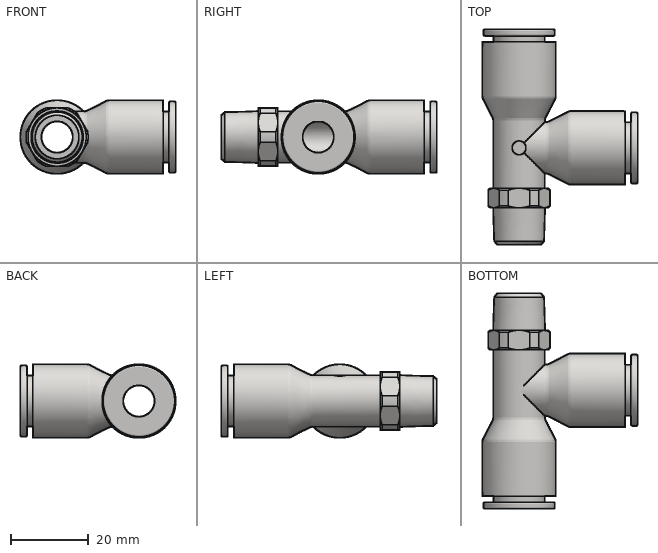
import cadquery as cq


arm_length = 30.55
tube_radius = 6.65
socket_radius = 9.5
socket_end = 27.3
cone_start = 7.4
cone_end = 12.95
cone_blend_radius = 1.4
collar_radius = 6.6
flange_radius = 9.2
flange_thickness = 1.8
flange_edge_radius = 0.5
bore_radius = 4.0

hex_start = 10.4
hex_length = 5.05
hex_across_flats = 15.0
hex_corner_radius = 8.0
hex_turn = 30
hex_chamfer = 0.5

stem_length = 25.0
thread_start_radius = 6.7
thread_taper = 1 / 16
thread_chamfer_length = 1.0
thread_tip_radius = 5.6

pad_radius = 1.8


def arm():
    """Solid arm along +Y, starting at the origin."""
    body = (
        cq.Workplane("XY")
        .polyline([
            (0, 0),
            (tube_radius, 0),
            (tube_radius, cone_start),
            (socket_radius, cone_end),
            (socket_radius, socket_end),
            (0, socket_end),
        ])
        .close()
        .revolve(360, (0, 0, 0), (0, 1, 0))
    )
    body = body.edges(cq.selectors.BoxSelector(
        (-socket_radius, cone_start / 2, -socket_radius),
        (socket_radius, (cone_end + socket_end) / 2, socket_radius),
    )).edges("%CIRCLE").fillet(cone_blend_radius)
    return body.union(release_collar())


def release_collar():
    """Collar that leaves the socket and ends in a rounded flange."""
    flange_start = arm_length - flange_thickness
    collar = cylinder_y(collar_radius, socket_end, flange_start)
    flange = cylinder_y(flange_radius, flange_start, arm_length).edges("%CIRCLE")
    return collar.union(flange.fillet(flange_edge_radius))


def cylinder_y(radius, y_start, y_end):
    """Cylinder on the Y axis between two stations."""
    return cq.Workplane("XZ", origin=(0, y_start, 0)).circle(radius).extrude(y_start - y_end)


def along_branch(shape):
    """Turn a shape from the +Y axis onto the +X axis."""
    return shape.rotate((0, 0, 0), (0, 0, 1), -90)


def hexagon():
    """Hexagon with flats on +Z and -Z, its corners turned down and chamfered."""
    hex_end = hex_start + hex_length
    prism = (
        cq.Workplane("XZ", origin=(0, -hex_start, 0))
        .polygon(6, hex_across_flats, circumscribed=True)
        .extrude(hex_length)
    )
    turned = cylinder_y(hex_corner_radius, -hex_end, -hex_start).edges("%CIRCLE").chamfer(hex_chamfer)
    flat_up = prism.rotate((0, 0, 0), (0, 1, 0), hex_turn)
    return flat_up.intersect(turned)


def threaded_stem():
    """Tube up to the hexagon, then the tapered thread with a chamfered tip."""
    thread_start = hex_start + hex_length
    thread_end = stem_length - thread_chamfer_length
    thread_end_radius = thread_start_radius - thread_taper / 2 * (thread_end - thread_start)
    return (
        cq.Workplane("XY")
        .polyline([
            (0, 0),
            (tube_radius, 0),
            (tube_radius, -thread_start),
            (thread_start_radius, -thread_start),
            (thread_end_radius, -thread_end),
            (thread_tip_radius, -stem_length),
            (0, -stem_length),
        ])
        .close()
        .revolve(360, (0, 0, 0), (0, 1, 0))
    )


push_in_arm = arm()
marking_pad = cq.Workplane("XY").circle(pad_radius).extrude(tube_radius)
run_bore = cylinder_y(bore_radius, -stem_length, arm_length)
branch_bore = along_branch(cylinder_y(bore_radius, 0, arm_length))

result = (
    threaded_stem()
    .union(push_in_arm)
    .union(along_branch(push_in_arm))
    .union(hexagon())
    .union(marking_pad)
    .cut(run_bore)
    .cut(branch_bore)
)